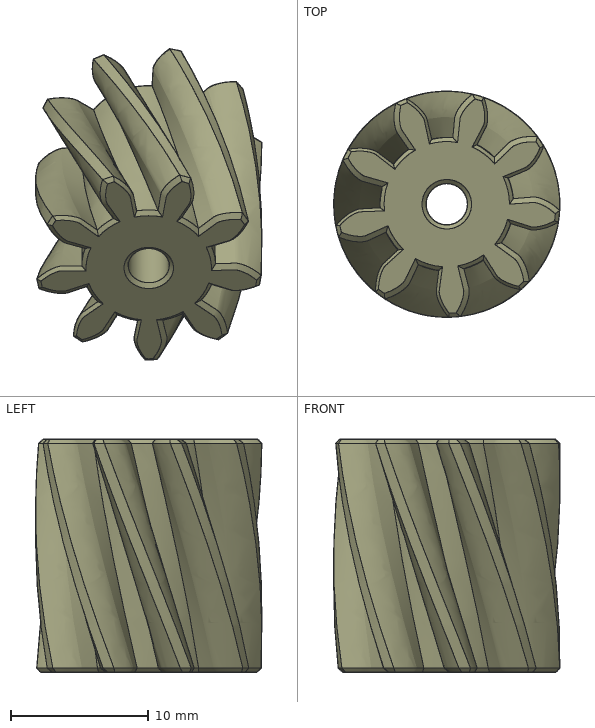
import cadquery as cq
import math

TOOTH_COUNT = 9
FACE_WIDTH = 17.0
TIP_RADIUS = 8.25
PRESSURE_ANGLE = math.radians(20)
HELIX_ANGLE = math.radians(18)
BORE_DIAMETER = 3.0
CHAMFER = 0.3
DEDENDUM_FACTOR = 1.25
FLANK_POINTS = 6

MODULE = 2 * TIP_RADIUS / (TOOTH_COUNT + 2)
PITCH_RADIUS = MODULE * TOOTH_COUNT / 2
ROOT_RADIUS = PITCH_RADIUS - DEDENDUM_FACTOR * MODULE
BASE_RADIUS = PITCH_RADIUS * math.cos(PRESSURE_ANGLE)
TOOTH_PITCH = 2 * math.pi / TOOTH_COUNT

TWIST_ANGLE = -FACE_WIDTH * math.tan(HELIX_ANGLE) / PITCH_RADIUS


def involute(pressure_angle):
    """Polar angle swept by an involute out to the given pressure angle."""
    return math.tan(pressure_angle) - pressure_angle


BASE_HALF_ANGLE = TOOTH_PITCH / 4 + involute(PRESSURE_ANGLE)


def polar(radius, angle):
    return (radius * math.cos(angle), radius * math.sin(angle))


def tooth_angle(z):
    """Angle of the first tooth centre at height z; it points along +X on the bottom face."""
    return TWIST_ANGLE * z / FACE_WIDTH


def flank(centre_angle, side, inset):
    """Points on one involute flank, from the base circle out to the tip circle."""
    tip_roll = math.sqrt(((TIP_RADIUS - inset) / BASE_RADIUS) ** 2 - 1)
    base_half_angle = BASE_HALF_ANGLE - math.asin(inset / BASE_RADIUS)
    points = []
    for i in range(FLANK_POINTS):
        roll = tip_roll * i / (FLANK_POINTS - 1)
        radius = BASE_RADIUS * math.sqrt(1 + roll**2)
        half_angle = base_half_angle - involute(math.atan(roll))
        points.append(polar(radius, centre_angle + side * half_angle))
    return points


def gear_profile(z, inset=0.0):
    """Closed outline of all the teeth at height z, moved inwards by the inset.

    Inside the base circle the flanks are straight and, without an inset, radial.
    """
    root_radius = ROOT_RADIUS - inset
    root_half_angle = BASE_HALF_ANGLE - math.asin(inset / root_radius)
    start = tooth_angle(z)
    outline = cq.Workplane("XY", origin=(0, 0, z)).moveTo(*polar(root_radius, start - root_half_angle))
    for tooth in range(TOOTH_COUNT):
        centre = start + tooth * TOOTH_PITCH
        rising = flank(centre, -1, inset)
        falling = flank(centre, 1, inset)[::-1]
        gap_start = polar(root_radius, centre + root_half_angle)
        gap_middle = polar(root_radius, centre + TOOTH_PITCH / 2)
        gap_end = polar(root_radius, centre + TOOTH_PITCH - root_half_angle)
        outline = (
            outline.lineTo(*rising[0])
            .spline(rising[1:], includeCurrent=True)
            .threePointArc(polar(TIP_RADIUS - inset, centre), falling[0])
            .spline(falling[1:], includeCurrent=True)
            .lineTo(*gap_start)
            .threePointArc(gap_middle, gap_end)
        )
    return outline.close()


def chamfered_end(inner_z, end_z):
    """Thin slice that tapers from the full outline to the inset outline on the end face."""
    outlines = [gear_profile(inner_z).val(), gear_profile(end_z, CHAMFER).val()]
    return cq.Workplane(cq.Solid.makeLoft(outlines, True))


lower_z = CHAMFER
upper_z = FACE_WIDTH - CHAMFER
twist = math.degrees(tooth_angle(upper_z) - tooth_angle(lower_z))
gear = gear_profile(lower_z).twistExtrude(upper_z - lower_z, twist)
gear = gear.union(chamfered_end(lower_z, 0)).union(chamfered_end(upper_z, FACE_WIDTH))

bore = cq.Workplane("XY").circle(BORE_DIAMETER / 2).extrude(FACE_WIDTH)
gear = gear.cut(bore)
bore_rim = cq.selectors.RadiusNthSelector(0)
result = gear.faces("<Z or >Z").edges("%CIRCLE").edges(bore_rim).chamfer(CHAMFER)